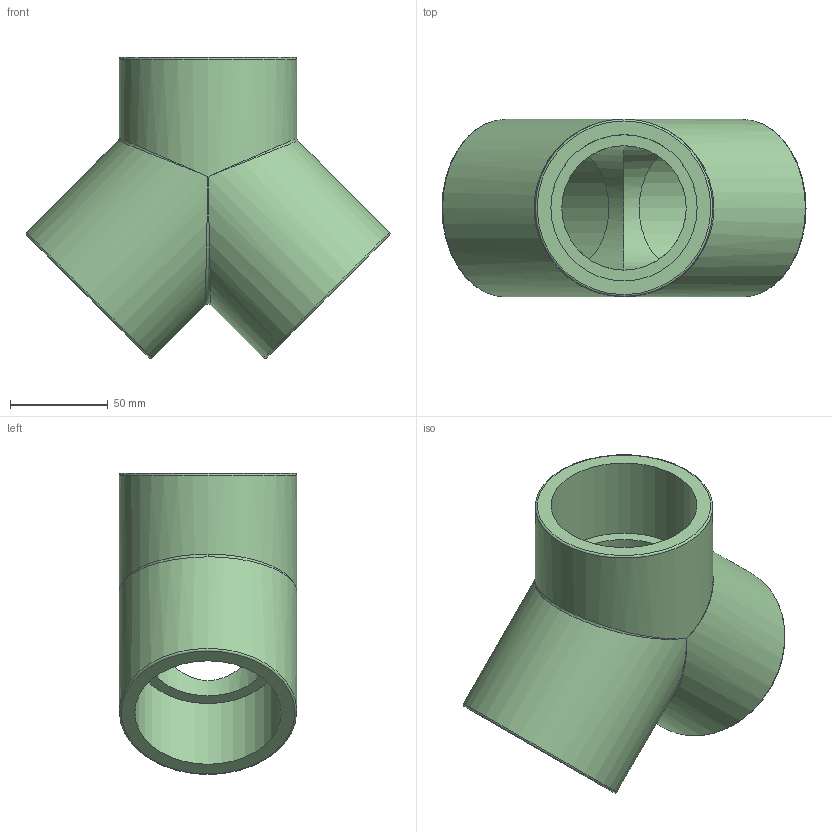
import cadquery as cq

outer_diameter = 91.0
socket_diameter = 75.0
bore_diameter = 63.8
socket_depth = 44.0
top_length = 61.0
branch_length = 87.0
branch_angle = 135.0
rim_fillet = 1.0
joint_fillet = 2.0

arms = [
    (0.0, top_length),
    (branch_angle, branch_length),
    (-branch_angle, branch_length),
]


def arm_cylinder(angle, diameter, start, end):
    """Cylinder along an arm axis, between two distances from the origin."""
    upright = cq.Workplane("XY").workplane(offset=start).circle(diameter / 2).extrude(end - start)
    return upright.rotate((0, 0, 0), (0, 1, 0), angle)


def merged_arms(diameter):
    """Cylinders of one diameter along all three arms, joined at the origin."""
    merged = cq.Workplane("XY")
    for angle, length in arms:
        merged = merged.add(arm_cylinder(angle, diameter, 0, length))
    return merged.combine()


def outer_body():
    """Solid Y of three pipes, with blended joints and rounded rims."""
    body = merged_arms(outer_diameter)
    body = body.edges("%ELLIPSE").fillet(joint_fillet)
    return body.edges("%CIRCLE").fillet(rim_fillet)


def cut_bores(body):
    """Through passages of the three arms, meeting at the origin."""
    return body.cut(merged_arms(bore_diameter))


def cut_sockets(body):
    """Wider pipe socket entering each arm from its end face."""
    for angle, length in arms:
        body = body.cut(arm_cylinder(angle, socket_diameter, length - socket_depth, length))
    return body


result = cut_sockets(cut_bores(outer_body()))